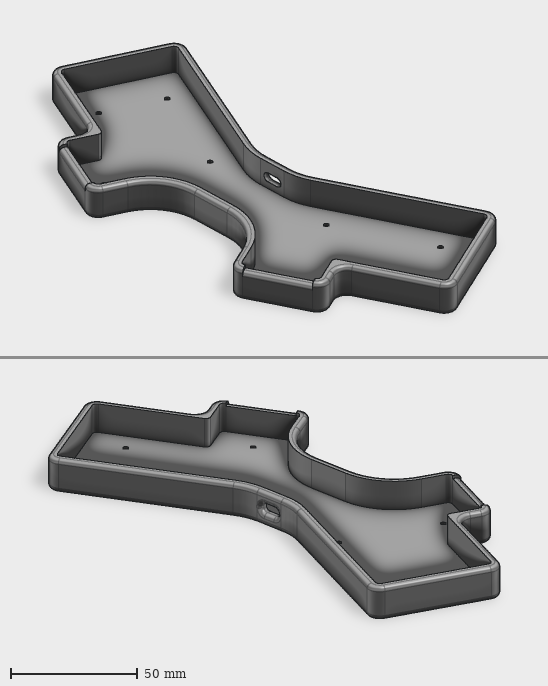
import cadquery as cq
import math

height = 14.5
floor_thickness = 2.0
wall = 3.5
rim_radius = 2.0

wing_tilt = 25
wing_end = -101.5
wing_top = 9.5
wing_bottom = -47.0
leg_outer = -53.5
leg_inner = -13.2
leg_bottom = -63.0

bridge_back = 16.0
bridge_front = -22.5

corner_radius = 5.5
bend_radius = 25.0

foot_dip = 1.3

hole_diameter = 2.2
hole_far = -81.5
hole_near = -33.5
hole_high = -4.5
hole_low = -33.5
hole_leg = -49.3

slot_length = 9.2
slot_height = 4.2
slot_z = 7.3

tilt_cos = math.cos(math.radians(wing_tilt))
tilt_sin = math.sin(math.radians(wing_tilt))


def left_wing_point(along, across):
    """Turn left wing coordinates into part X and Y."""
    return (along * tilt_cos + across * tilt_sin, across * tilt_cos - along * tilt_sin)


def mirrored(points):
    """The same points on the right half of the part."""
    return [(-x, y) for x, y in points]


def round_uprights(body, points, middle_z, radius):
    """Round the upright edges standing at the given points and at their mirror images."""
    for x, y in points + mirrored(points):
        edge = cq.selectors.NearestToPointSelector((x, y, middle_z))
        body = body.edges(edge).fillet(radius)
    return body


def tray_prism(inset, base, top):
    """Prism of the tray outline, moved inwards by inset, with rounded upright edges."""
    end = wing_end + inset
    upper = wing_top - inset
    lower = wing_bottom + inset
    outer = leg_outer + inset
    inner = leg_inner - inset
    foot = leg_bottom + inset
    back = bridge_back - inset
    front = bridge_front + inset

    corners = [
        left_wing_point(end, upper),
        left_wing_point(end, lower),
        left_wing_point(outer, lower),
        left_wing_point(outer, foot),
        left_wing_point(inner, foot),
    ]
    back_bend = ((upper - back * tilt_cos) / tilt_sin, back)
    front_bend = ((inner + front * tilt_sin) / tilt_cos, front)
    left = [back_bend] + corners + [front_bend]
    outline = left + mirrored(left)[::-1]

    prism = cq.Workplane("XY").workplane(offset=base).polyline(outline).close().extrude(top - base)
    middle_z = (base + top) / 2
    prism = round_uprights(prism, corners, middle_z, corner_radius - inset)
    return round_uprights(prism, [back_bend, front_bend], middle_z, bend_radius + inset)


def rounded_block(top):
    """Solid tray body with rounded upper and lower outer edges."""
    return tray_prism(0, 0, top).faces("<Z or >Z").edges().fillet(rim_radius)


def left_foot_dip():
    """Material above the lowered rim, over the straight part of the left foot."""
    start = leg_outer + corner_radius
    end = leg_inner - corner_radius
    middle_x, middle_y = left_wing_point((start + end) / 2, leg_bottom)
    zone = (
        cq.Workplane("XY", origin=(middle_x, middle_y, height / 2))
        .transformed(rotate=(0, 0, -wing_tilt))
        .rect(end - start, 3 * wall)
        .extrude(height)
    )
    return zone.cut(rounded_block(height - foot_dip))


def screw_holes():
    """Through holes in the floor, four under each wing."""
    left = [
        left_wing_point(hole_far, hole_high),
        left_wing_point(hole_far, hole_low),
        left_wing_point(hole_near, hole_high),
        left_wing_point(hole_near, hole_leg),
    ]
    points = left + mirrored(left)
    return cq.Workplane("XY").pushPoints(points).circle(hole_diameter / 2).extrude(floor_thickness)


def cut_connector_slot(body):
    """Cut the slot through the back wall and round its outer mouth."""
    slot = (
        cq.Workplane("XZ", origin=(0, bridge_back, slot_z))
        .slot2D(slot_length, slot_height)
        .extrude(2 * wall, both=True)
    )
    mouth = cq.selectors.BoxSelector(
        (-slot_length, bridge_back - wall / 4, slot_z - slot_height),
        (slot_length, bridge_back + wall / 4, slot_z + slot_height),
    )
    return body.cut(slot).edges(mouth).fillet(rim_radius)


dip = left_foot_dip()
shell = rounded_block(height).cut(dip).cut(dip.mirror("YZ"))

tray = shell.cut(tray_prism(wall, floor_thickness, height))

tray = tray.cut(screw_holes())
result = cut_connector_slot(tray)